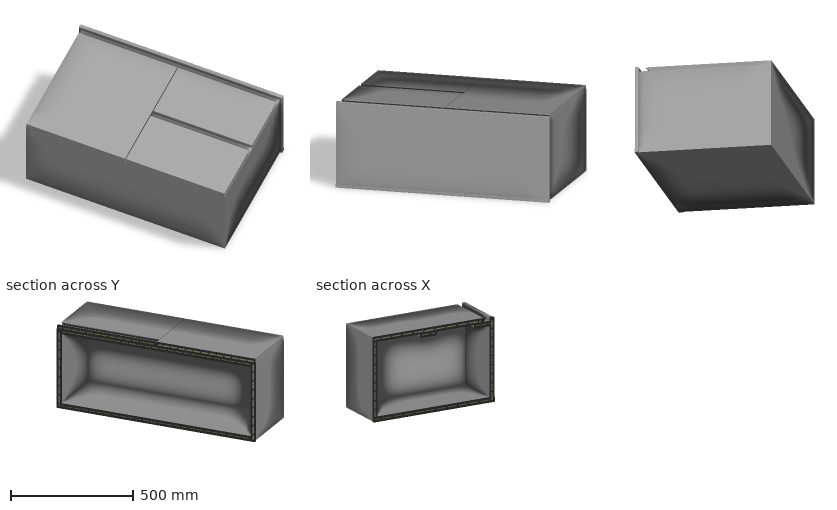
import cadquery as cq

WIDTH = 910.0
BOARD = 16.0

OVERHANG = 10.0
CARCASS_WIDTH = WIDTH - 2 * OVERHANG
CARCASS_DEPTH = 551.0
CARCASS_TOP = 344.0
INNER_WIDTH = CARCASS_WIDTH - 2 * BOARD
SIDE_OFFSET = (CARCASS_WIDTH - BOARD) / 2
HEIGHT = CARCASS_TOP + BOARD

SLAB = 15.5
LIP_RISE = 3.0
LIP_WIDTH = 15.0
EDGE_RADIUS = 2.0

GRIP_GAP = 28.0
GRIP_LAND = 3.0
GRIP_BEVEL = BOARD - GRIP_LAND

REVEAL = 2.0
FRONT_GAP = 4.0
FRONT_WIDTH = (CARCASS_WIDTH - 2 * REVEAL - FRONT_GAP) / 2
FRONT_OFFSET = (FRONT_WIDTH + FRONT_GAP) / 2
DOOR_LENGTH = CARCASS_DEPTH - GRIP_GAP
DRAWER_LENGTH = (DOOR_LENGTH - GRIP_GAP) / 2
UPPER_DRAWER_Y = DRAWER_LENGTH + GRIP_GAP

RAIL_WIDTH = 73.0
DRAWER_RAIL_Y = DRAWER_LENGTH + (GRIP_GAP - RAIL_WIDTH) / 2
COUNTERTOP_RAIL_Y = CARCASS_DEPTH - RAIL_WIDTH


def make_board(size_x, size_y, size_z, x, y, z):
    """Plain board centred on x, starting at y and z."""
    board = cq.Workplane("XY").box(size_x, size_y, size_z, centered=(True, False, False))
    return board.translate((x, y, z))


def make_side_panel(x):
    """Full-depth panel centred on x."""
    return make_board(BOARD, CARCASS_DEPTH, CARCASS_TOP, x, 0, 0)


def make_back():
    """Panel between the side panels, covering the -Z end of the bottom panel."""
    return make_board(INNER_WIDTH, CARCASS_DEPTH, BOARD, 0, 0, 0)


def make_bottom():
    """Panel on the -Y side, standing between the side panels."""
    return make_board(INNER_WIDTH, BOARD, CARCASS_TOP - BOARD, 0, 0, BOARD)


def make_rail(y):
    """Strip between the side panels, flush with their +Z edges."""
    return make_board(INNER_WIDTH, RAIL_WIDTH, BOARD, 0, y, CARCASS_TOP - BOARD)


def make_front(x, y, length):
    """Door or drawer front whose +Y edge is undercut as a finger grip."""
    grip_edge = y + length
    profile = [
        (y, CARCASS_TOP),
        (grip_edge - GRIP_BEVEL, CARCASS_TOP),
        (grip_edge, HEIGHT - GRIP_LAND),
        (grip_edge, HEIGHT),
        (y, HEIGHT),
    ]
    front = cq.Workplane("YZ").polyline(profile).close().extrude(FRONT_WIDTH / 2, both=True)
    return front.translate((x, 0, 0))


def make_countertop():
    """Slab with a low upstand along its -Z edge; the +Z and vertical edges are rounded."""
    slab = make_board(WIDTH, SLAB, HEIGHT, 0, CARCASS_DEPTH, 0)
    lip = make_board(WIDTH, LIP_RISE, LIP_WIDTH, 0, CARCASS_DEPTH + SLAB, 0)
    return slab.union(lip).edges(">Z or |Z").fillet(EDGE_RADIUS)


side_panels = [make_side_panel(x) for x in (-SIDE_OFFSET, SIDE_OFFSET)]
back = make_back()
bottom = make_bottom()
rails = [make_rail(y) for y in (DRAWER_RAIL_Y, COUNTERTOP_RAIL_Y)]
door = make_front(-FRONT_OFFSET, 0, DOOR_LENGTH)
drawer_fronts = [make_front(FRONT_OFFSET, y, DRAWER_LENGTH) for y in (0, UPPER_DRAWER_Y)]
countertop = make_countertop()

bodies = [*side_panels, back, bottom, *rails, door, *drawer_fronts, countertop]
result = cq.Compound.makeCompound([body.val() for body in bodies])